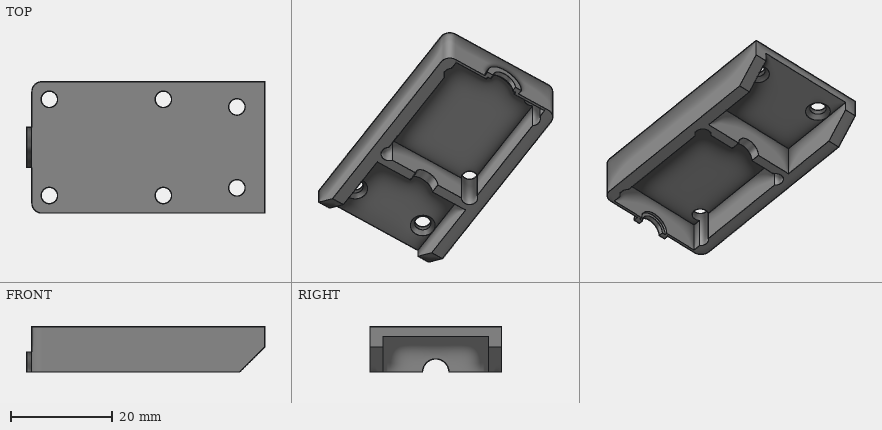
import cadquery as cq

overall_length = 47.0
width = 26.0
height = 9.0

collar_length = 1.0
collar_outer_radius = 4.0
collar_bore_radius = 2.6

corner_radius = 2.0
lid_thickness = 1.97
pocket_width = 20.85
front_wall = 0.5
front_wall_bore_radius = 3.3

cross_wall_start = 27.85
cross_wall_thickness = 1.97

bevel_length = 5.0
bevel_height = 4.95

hole_diameter = 3.2
front_holes = (4.45, 9.5)
middle_holes = (27.0, 9.5)
rear_holes = (41.5, 8.0)
straight_depth = 1.15

body_length = overall_length - collar_length
body_height = height - lid_thickness
countersink_rise = lid_thickness - straight_depth
countersink_diameter = hole_diameter + 2 * countersink_rise


def mirrored_pair(position):
    x, half_spacing = position
    return [(x, -half_spacing), (x, half_spacing)]


def make_block():
    """Full outer block: rounded front corners and a bevelled rear end."""
    block = (
        cq.Workplane("XY")
        .box(body_length, width, height, centered=(False, True, False))
        .translate((collar_length, 0, 0))
        .edges("|Z and <X")
        .fillet(corner_radius)
    )
    bevel = (
        cq.Workplane("XZ")
        .moveTo(overall_length - bevel_length, 0)
        .lineTo(overall_length, 0)
        .lineTo(overall_length, bevel_height)
        .close()
        .extrude(width / 2, both=True)
    )
    return block.cut(bevel)


def make_compartment(start, end):
    """Space under the lid, open at the bottom, between two places along X."""
    return (
        cq.Workplane("XY")
        .box(end - start, pocket_width, body_height, centered=(False, True, False))
        .translate((start, 0, 0))
    )


def half_cylinder(radius, start, end):
    """Upper half of a cylinder lying along X on the bottom plane."""
    return (
        cq.Workplane("YZ", origin=(start, 0, 0))
        .moveTo(-radius, 0)
        .threePointArc((0, radius), (radius, 0))
        .close()
        .extrude(end - start)
    )


def make_holes():
    """Plain screw holes through the full height."""
    centers = mirrored_pair(front_holes) + mirrored_pair(middle_holes) + mirrored_pair(rear_holes)
    return cq.Workplane("XY").pushPoints(centers).circle(hole_diameter / 2).extrude(height)


def make_countersinks():
    """Conical seats under the lid at the rear holes."""
    return (
        cq.Workplane("XY", origin=(0, 0, body_height))
        .pushPoints(mirrored_pair(rear_holes))
        .circle(countersink_diameter / 2)
        .extrude(countersink_rise, taper=45)
    )


front_wall_end = collar_length + front_wall
cross_wall_end = cross_wall_start + cross_wall_thickness

shell = (
    make_block()
    .cut(make_compartment(front_wall_end, cross_wall_start))
    .cut(make_compartment(cross_wall_end, overall_length))
)

collar = half_cylinder(collar_outer_radius, 0, collar_length)
cable_bore = half_cylinder(collar_bore_radius, 0, overall_length)
front_wall_bore = half_cylinder(front_wall_bore_radius, collar_length, front_wall_end)
housing = shell.cut(front_wall_bore).union(collar).cut(cable_bore)

result = housing.cut(make_holes()).cut(make_countersinks())